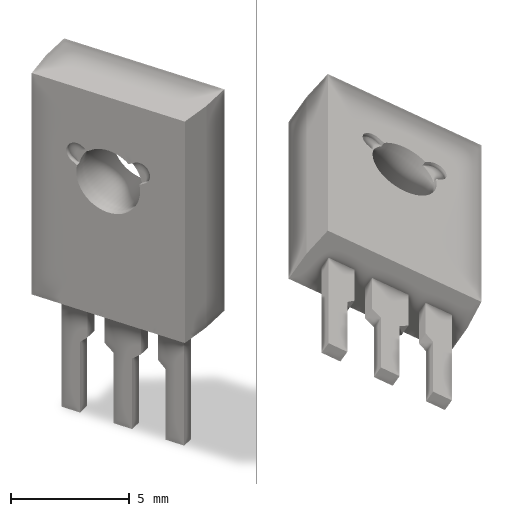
import cadquery as cq

total_height = 17.14
housing_width = 7.8
housing_depth = 3.0
housing_height = 11.09
side_taper = 0.17
taper_depth = housing_depth / 2

hole_diameter = 3.1
hole_below_top = 4.22
notch_width = 1.01
notch_reach = 1.78
notch_depth = 0.2
notch_angle = 31.0

lead_thickness = 0.58
lead_pitch = 2.54
tip_width = 0.9
outer_step = 0.36
center_step = 0.43
wide_length = 2.18
shoulder_height = 0.35

housing_bottom = total_height - housing_height
hole_z = total_height - hole_below_top
front_y = -housing_depth / 2
back_y = housing_depth / 2


def make_blank():
    """Housing block whose sides taper toward the front face."""
    half_width = housing_width / 2
    front_half_width = half_width - side_taper
    taper_y = front_y + taper_depth
    outline = [
        (-front_half_width, front_y),
        (front_half_width, front_y),
        (half_width, taper_y),
        (half_width, back_y),
        (-half_width, back_y),
        (-half_width, taper_y),
    ]
    return cq.Workplane("XY", origin=(0, 0, housing_bottom)).polyline(outline).close().extrude(housing_height)


def make_notch(angle):
    """Round-ended cutter running outward from the hole axis, sunk in the front face."""
    face = cq.Workplane("XZ", origin=(0, front_y, hole_z))
    bar = face.center(notch_reach / 2, 0).rect(notch_reach, notch_width).extrude(-notch_depth)
    round_end = face.center(notch_reach, 0).circle(notch_width / 2).extrude(-notch_depth)
    hole_axis_start = (0, 0, hole_z)
    hole_axis_end = (0, -1, hole_z)
    return bar.union(round_end).rotate(hole_axis_start, hole_axis_end, angle)


def make_housing():
    hole = (
        cq.Workplane("XZ", origin=(0, front_y, hole_z))
        .circle(hole_diameter / 2)
        .extrude(-housing_depth)
    )
    body = make_blank().cut(hole)
    for angle in (notch_angle, 180 - notch_angle):
        body = body.cut(make_notch(angle))
    return body


def make_lead(center_x, left_step, right_step):
    """Flat lead, widened by the given steps next to the housing."""
    left = center_x - tip_width / 2
    right = center_x + tip_width / 2
    shoulder_top = housing_bottom - wide_length
    shoulder_bottom = shoulder_top - shoulder_height
    lead = cq.Workplane("XZ").moveTo(left, 0).lineTo(right, 0)
    if right_step > 0:
        lead = lead.lineTo(right, shoulder_bottom).lineTo(right + right_step, shoulder_top)
    lead = lead.lineTo(right + right_step, housing_bottom).lineTo(left - left_step, housing_bottom)
    if left_step > 0:
        lead = lead.lineTo(left - left_step, shoulder_top).lineTo(left, shoulder_bottom)
    return lead.close().extrude(lead_thickness / 2, both=True)


housing = make_housing()

lead_layout = [
    (-lead_pitch, 0, outer_step),
    (0, center_step, center_step),
    (lead_pitch, outer_step, 0),
]
leads = [make_lead(*placement).val() for placement in lead_layout]

result = cq.Compound.makeCompound([housing.val(), *leads])